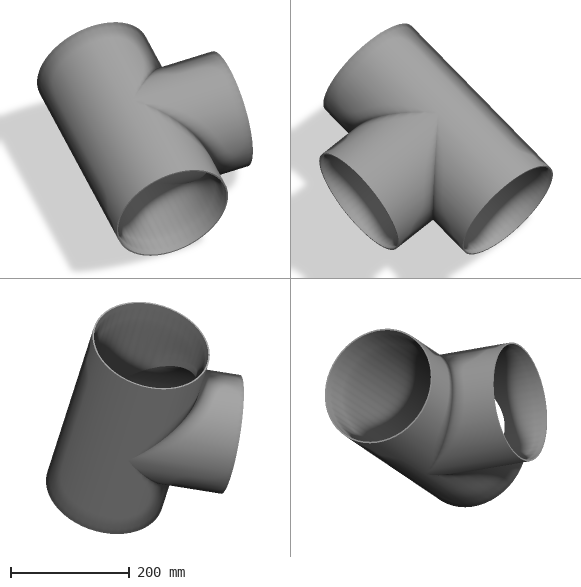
import cadquery as cq

run_length = 355.5
outer_diameter = 203.0
inner_diameter = 197.7
branch_reach = 177.8


def tee_body(diameter):
    """Solid tee of two crossing cylinders with equal diameters."""
    radius = diameter / 2
    run = cq.Workplane("YZ").circle(radius).extrude(run_length / 2, both=True)
    branch = cq.Workplane("XZ").circle(radius).extrude(-branch_reach)
    return run.union(branch)


result = tee_body(outer_diameter).cut(tee_body(inner_diameter))